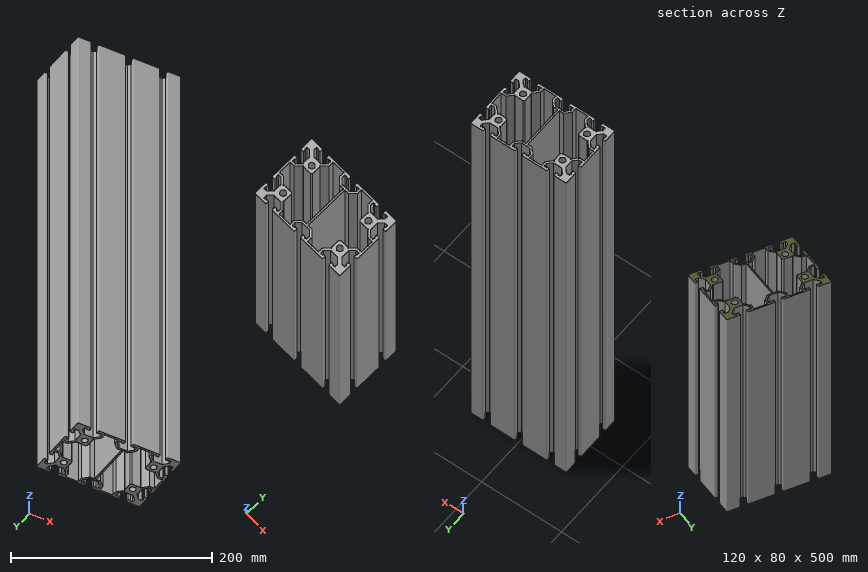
import cadquery as cq

width = 120.0
depth = 80.0
length = 500.0

pitch = 40.0
slot_columns = (-pitch, 0.0, pitch)
slot_rows = (-pitch / 2, pitch / 2)
boss_centres = [(x, y) for x in (-pitch, pitch) for y in slot_rows]

mouth_half = 4.25
chamber_half = 10.0
floor_half = 5.0
lip_thickness = 3.25
lip_tip_thickness = 4.0
lip_tip_width = 3.0
slot_depth = 12.0
taper_start = slot_depth - (chamber_half - floor_half)

outer_wall = 2.25
channel_wall = 2.5
channel_floor = 2.25
channel_taper_offset = 3.5
rib_thickness = 2.0
corner_block = pitch / 2 - chamber_half

edge_radius = 1.0

boss_side = 13.0
boss_chamfer = 1.5
screw_radius = 3.4


def box(size_x, size_y, x=0.0, y=0.0):
    """Full-length rectangular bar centred at (x, y)."""
    return cq.Workplane("XY").center(x, y).rect(size_x, size_y).extrude(length)


def mirrored_prism(half_points):
    """Full-length bar from a right-hand half outline mirrored about X = 0."""
    left_points = [(-x, y) for x, y in reversed(half_points)]
    return cq.Workplane("XY").polyline(half_points + left_points).close().extrude(length)


def slot_void():
    """T-slot void, opening towards +Y with its mouth at Y = 0."""
    tip_end = mouth_half + lip_tip_width
    return mirrored_prism([
        (mouth_half, 0),
        (mouth_half, -lip_tip_thickness),
        (tip_end, -lip_tip_thickness),
        (tip_end, -lip_thickness),
        (chamber_half, -lip_thickness),
        (chamber_half, -taper_start),
        (floor_half, -slot_depth),
    ])


def slot_channel():
    """Solid body around one T-slot, placed like the void, with the same 45 degree taper."""
    side = chamber_half + channel_wall
    bottom = slot_depth + channel_floor
    taper_sum = chamber_half + taper_start + channel_taper_offset
    return mirrored_prism([
        (side, 0),
        (side, side - taper_sum),
        (taper_sum - bottom, -bottom),
    ])


def turned(shape, angle):
    return shape.rotate((0, 0, 0), (0, 0, 1), angle)


def at_all_slots(shape):
    """Copies of a slot shape at every slot position on the four long faces."""
    top = [shape.translate((x, depth / 2, 0)) for x in slot_columns]
    left = [turned(shape, 90).translate((-width / 2, y, 0)) for y in slot_rows]
    return top + left + [turned(item, 180) for item in top + left]


body = box(width, depth).cut(box(width - 2 * outer_wall, depth - 2 * outer_wall))
body = body.union(box(rib_thickness, depth - 2 * slot_depth))

corner_x = (width - corner_block) / 2
corner_y = (depth - corner_block) / 2
for x in (-corner_x, corner_x):
    for y in (-corner_y, corner_y):
        body = body.union(box(corner_block, corner_block, x, y))

for x, y in boss_centres:
    body = body.union(box(boss_side, boss_side, x, y).edges("|Z").chamfer(boss_chamfer))

for channel in at_all_slots(slot_channel()):
    body = body.union(channel)
for void in at_all_slots(slot_void()):
    body = body.cut(void)

body = body.cut(cq.Workplane("XY").pushPoints(boss_centres).circle(screw_radius).extrude(length))

body = body.faces("<X or >X or <Y or >Y").edges("|Z").fillet(edge_radius)

result = body.translate((0, 0, -length / 2))